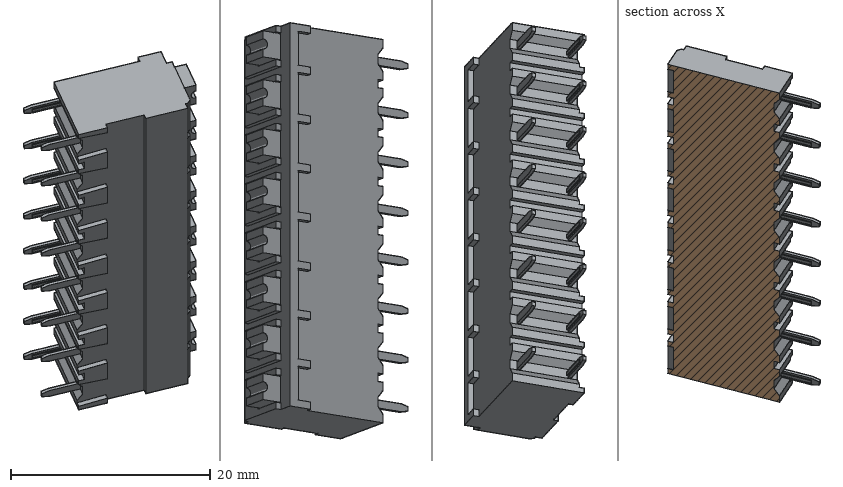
import cadquery as cq

POLES = 8
TOTAL_HEIGHT = 39.75
MODULE_HEIGHT = 4.2
PITCH = (TOTAL_HEIGHT - MODULE_HEIGHT) / (POLES - 1)
GAP_HEIGHT = PITCH - MODULE_HEIGHT

TOTAL_WIDTH = 8.4
BODY_BACK = 11.57
BODY_LEFT = 0.6

FLANGE_START = 10.58
TAB_START = 9.1
TAB_HEIGHT = 0.75

GROOVE_DEPTH = 0.6
V_MOUTH = 2.45
V_FLOOR = 1.0

SIDE_DEPTH = 0.5
CHANNEL_START = 3.05
CHANNEL_END = 7.1
WINDOW_MOUTH = 3.15
WINDOW_INNER = 2.8

RIM_LEFT = 1.7
RIM_RIGHT = 7.7
RIM_DEPTH = 0.6
RIM_CHAMFER = 0.35

BUTTON_LEFT = 1.8
BUTTON_WIDTH = 3.1
BUTTON_BACK = 13.65
BUTTON_HEIGHT = 2.7
BUTTON_GROOVE_RADIUS = 0.5
BUTTON_CLEARANCE = 0.08

PIN_LEFT = 1.35
PIN_RIGHT = 7.2
PIN_TIP = -3.5
PIN_TAPER_START = -2.7
PIN_WIDTH = 0.85
PIN_TIP_WIDTH = 0.45
BLADE_THICKNESS = 0.35
RIB_THICKNESS = 0.1
RIB_WIDTH = 0.4


def box(x_min, x_max, y_min, y_max, z_min, z_max):
    """Axis-aligned block between two corners."""
    size = (x_max - x_min, y_max - y_min, z_max - z_min)
    return cq.Workplane("XY").box(*size, centered=False).translate((x_min, y_min, z_min))


def centered_box(x_min, x_max, y_min, y_max, z_center, height):
    """Block whose Z extent is centred on z_center."""
    return box(x_min, x_max, y_min, y_max, z_center - height / 2, z_center + height / 2)


def prism_along_x(points, x_min, x_max):
    """Extrude a (Y, Z) outline from x_min to x_max."""
    return cq.Workplane("YZ", origin=(x_min, 0, 0)).polyline(points).close().extrude(x_max - x_min)


def tapered_groove(z, mouth, inner, depth, x_min):
    """Groove into the pin-side face, narrowing from mouth to inner height, out to the +X side."""
    outline = [
        (0, z - mouth / 2),
        (depth, z - inner / 2),
        (depth, z + inner / 2),
        (0, z + mouth / 2),
    ]
    return prism_along_x(outline, x_min, TOTAL_WIDTH)


def rim(z):
    """Raised rim with a chamfered +X corner and a slot around the button."""
    rim_back = BODY_BACK + RIM_DEPTH
    block = centered_box(RIM_LEFT, RIM_RIGHT, BODY_BACK, rim_back, z, MODULE_HEIGHT)
    block = block.edges(">X and >Y").chamfer(RIM_CHAMFER)
    slot_right = BUTTON_LEFT + BUTTON_WIDTH + BUTTON_CLEARANCE
    slot_height = BUTTON_HEIGHT + 2 * BUTTON_CLEARANCE
    return block.cut(centered_box(RIM_LEFT, slot_right, BODY_BACK, rim_back, z, slot_height))


def button(z):
    """Button with a half-round groove across its end."""
    right = BUTTON_LEFT + BUTTON_WIDTH
    block = centered_box(BUTTON_LEFT, right, BODY_BACK, BUTTON_BACK, z, BUTTON_HEIGHT)
    groove = (
        cq.Workplane("YZ", origin=(BUTTON_LEFT, BUTTON_BACK, z))
        .circle(BUTTON_GROOVE_RADIUS)
        .extrude(BUTTON_WIDTH)
    )
    return block.cut(groove)


def pin(z, outer_x, inward):
    """Pin with its outer side at outer_x; inward is +1 or -1 along X."""
    outline = [
        (GROOVE_DEPTH, z - PIN_WIDTH / 2),
        (PIN_TAPER_START, z - PIN_WIDTH / 2),
        (PIN_TIP, z - PIN_TIP_WIDTH / 2),
        (PIN_TIP, z + PIN_TIP_WIDTH / 2),
        (PIN_TAPER_START, z + PIN_WIDTH / 2),
        (GROOVE_DEPTH, z + PIN_WIDTH / 2),
    ]
    inner_x = outer_x + inward * BLADE_THICKNESS
    rib_x = inner_x + inward * RIB_THICKNESS
    blade = prism_along_x(outline, min(outer_x, inner_x), max(outer_x, inner_x))
    rib = centered_box(
        min(inner_x, rib_x), max(inner_x, rib_x), PIN_TAPER_START, GROOVE_DEPTH, z, RIB_WIDTH
    )
    return blade.union(rib)


module_centers = [MODULE_HEIGHT / 2 + i * PITCH for i in range(POLES)]
gap_centers = [z + PITCH / 2 for z in module_centers[:-1]]
side_floor = TOTAL_WIDTH - SIDE_DEPTH

body = box(BODY_LEFT, TOTAL_WIDTH, 0, BODY_BACK, 0, TOTAL_HEIGHT)
body = body.union(box(0, BODY_LEFT, FLANGE_START, BODY_BACK, 0, TOTAL_HEIGHT))
body = body.cut(box(side_floor, TOTAL_WIDTH, CHANNEL_START, CHANNEL_END, 0, TOTAL_HEIGHT))

for z in gap_centers + [TAB_HEIGHT / 2, TOTAL_HEIGHT - TAB_HEIGHT / 2]:
    body = body.union(centered_box(0, BODY_LEFT, TAB_START, FLANGE_START, z, TAB_HEIGHT))

for z in gap_centers:
    body = body.cut(centered_box(BODY_LEFT, TOTAL_WIDTH, 0, GROOVE_DEPTH, z, GAP_HEIGHT))

for z in module_centers:
    body = body.cut(tapered_groove(z, V_MOUTH, V_FLOOR, GROOVE_DEPTH, BODY_LEFT))
    body = body.cut(tapered_groove(z, WINDOW_MOUTH, WINDOW_INNER, CHANNEL_START, side_floor))
    body = body.union(rim(z)).union(button(z))
    body = body.union(pin(z, PIN_LEFT, 1)).union(pin(z, PIN_RIGHT, -1))

result = body